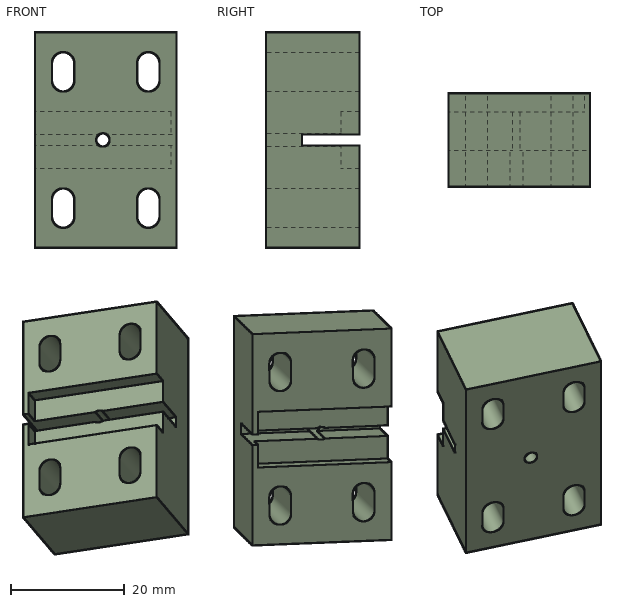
import cadquery as cq

width = 25.0
depth = 16.5
height = 38.0
front_y = -depth / 2
back_y = depth / 2
left_x = -width / 2

mount_slot_width = 3.9
mount_slot_length = 6.9
mount_slot_spacing_x = 15.0
mount_slot_spacing_z = 24.0

recess_depth = 3.3
recess_height = 10.0
recess_wall = 1.0
recess_length = width - recess_wall
recess_center_x = left_x + recess_length / 2

slit_depth = 10.1
slit_height = 1.9

hole_diameter = 2.3


def make_block():
    return cq.Workplane("XY").box(width, depth, height)


def front_plane():
    """Workplane on the front face, with its normal pointing to -Y."""
    return cq.Workplane("XZ", origin=(0, front_y, 0))


def mounting_slots():
    return (
        front_plane()
        .rarray(mount_slot_spacing_x, mount_slot_spacing_z, 2, 2)
        .slot2D(mount_slot_length, mount_slot_width, 90)
        .extrude(-depth)
    )


def back_channel(length, center_x, channel_depth, channel_height):
    """Box that cuts into the back face at mid height."""
    center_y = back_y - channel_depth / 2
    return (
        cq.Workplane("XY", origin=(center_x, center_y, 0))
        .box(length, channel_depth, channel_height)
    )


def center_hole():
    return (
        front_plane()
        .center(recess_center_x, 0)
        .circle(hole_diameter / 2)
        .extrude(-depth)
    )


result = (
    make_block()
    .cut(mounting_slots())
    .cut(back_channel(recess_length, recess_center_x, recess_depth, recess_height))
    .cut(back_channel(width, 0, slit_depth, slit_height))
    .cut(center_hole())
)